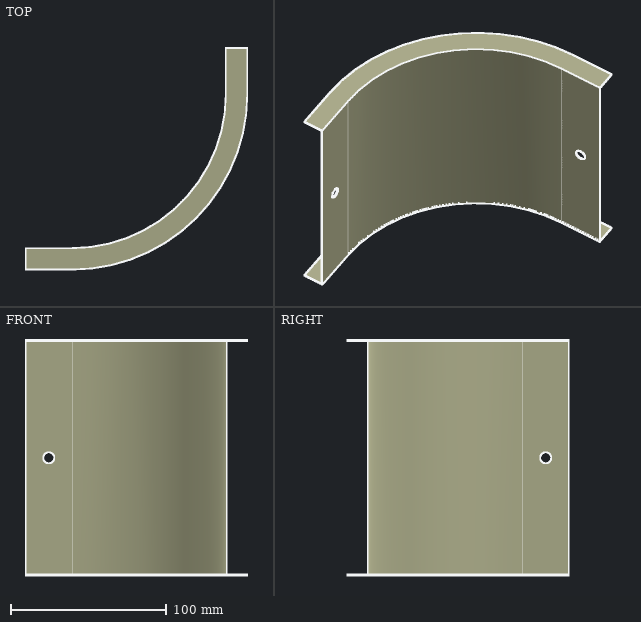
import cadquery as cq

height = 152.0
side = 143.0
straight = 30.0
bend_radius = 99.1
sheet = 0.8
hole_diameter = 7.0

strip_width = side - straight - bend_radius
hole_offset = straight / 2


def curved_strip(width, thickness):
    """Quarter-bend strip with flat ends, growing outward from the concave face.

    The bend centre lies on the Z axis; the ends point to -X and +Y.
    """
    outer_radius = bend_radius + width
    diagonal = 0.5 ** 0.5
    return (
        cq.Workplane("XY")
        .moveTo(-straight, -bend_radius)
        .lineTo(0, -bend_radius)
        .threePointArc((bend_radius * diagonal, -bend_radius * diagonal), (bend_radius, 0))
        .lineTo(bend_radius, straight)
        .lineTo(outer_radius, straight)
        .lineTo(outer_radius, 0)
        .threePointArc((outer_radius * diagonal, -outer_radius * diagonal), (0, -outer_radius))
        .lineTo(-straight, -outer_radius)
        .close()
        .extrude(thickness)
    )


wall = curved_strip(sheet, height)
flange = curved_strip(strip_width, sheet)
body = wall.union(flange).union(flange.translate((0, 0, height - sheet)))

hole_start = bend_radius - sheet
hole_depth = 3 * sheet
hole_radius = hole_diameter / 2
front_hole = cq.Solid.makeCylinder(
    hole_radius,
    hole_depth,
    cq.Vector(-straight + hole_offset, -hole_start, height / 2),
    cq.Vector(0, -1, 0),
)
side_hole = cq.Solid.makeCylinder(
    hole_radius,
    hole_depth,
    cq.Vector(hole_start, straight - hole_offset, height / 2),
    cq.Vector(1, 0, 0),
)

result = body.cut(cq.Workplane(front_hole)).cut(cq.Workplane(side_hole))